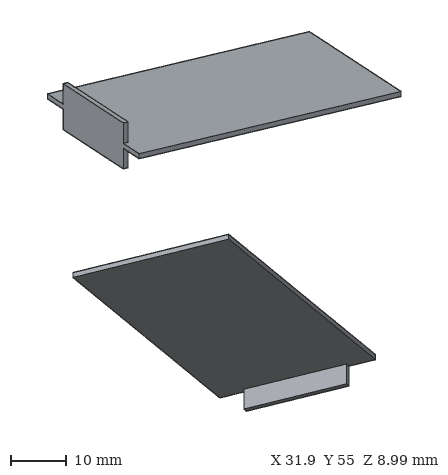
import cadquery as cq

plate_width = 31.94
plate_length = 55.0
plate_thickness = 1.0

tab_width = 21.0
tab_height = 8.99
tab_thickness = 1.0

front_y = -plate_length / 2


def make_plate():
    """Thin rectangular plate centred on the origin."""
    return cq.Workplane("XY").box(plate_width, plate_length, plate_thickness)


def make_end_tab():
    """Upright tab flush with the front edge, standing equally above and below the plate."""
    tab_center_y = front_y + tab_thickness / 2
    return (
        cq.Workplane("XY")
        .box(tab_width, tab_thickness, tab_height)
        .translate((0, tab_center_y, 0))
    )


result = make_plate().union(make_end_tab())